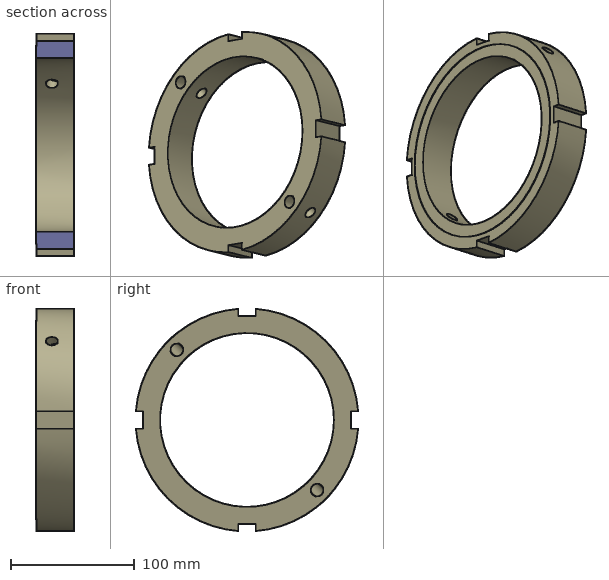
import cadquery as cq

OUTER_DIAMETER = 180.0
BORE_DIAMETER = 140.0
TOTAL_WIDTH = 31.0

FACE_DIAMETER = 160.0
FACE_HEIGHT = 0.5

SLOT_COUNT = 4
SLOT_WIDTH = 14.0
SLOT_FLOOR_RADIUS = 84.0

RADIAL_HOLE_DIAMETER = 9.6
AXIAL_HOLE_DIAMETER = 10.106
RADIAL_HOLE_FROM_FACE = 13.0
LOCKING_ANGLES = (45.0, 225.0)

OUTER_RADIUS = OUTER_DIAMETER / 2
BORE_RADIUS = BORE_DIAMETER / 2
AXIAL_HOLE_RADIUS_FROM_AXIS = (OUTER_RADIUS + BORE_RADIUS) / 2


def ring_body():
    """Ring with a low raised face; the face lies at X = 0."""
    rim = (
        cq.Workplane("YZ")
        .workplane(offset=FACE_HEIGHT)
        .circle(OUTER_RADIUS)
        .extrude(TOTAL_WIDTH - FACE_HEIGHT)
    )
    face = cq.Workplane("YZ").circle(FACE_DIAMETER / 2).extrude(TOTAL_WIDTH)
    bore = cq.Workplane("YZ").circle(BORE_RADIUS).extrude(TOTAL_WIDTH)
    return rim.union(face).cut(bore)


def about_axis(shape, angle):
    """Turn a shape about the ring axis."""
    return shape.rotate((0, 0, 0), (1, 0, 0), angle)


def slot_cutter(angle):
    """Full-width block that cuts one spanner slot."""
    block = cq.Workplane("XY").box(
        TOTAL_WIDTH,
        SLOT_WIDTH,
        OUTER_RADIUS - SLOT_FLOOR_RADIUS,
        centered=(False, True, False),
    )
    return about_axis(block.translate((0, 0, SLOT_FLOOR_RADIUS)), angle)


def locking_hole_cutter(angle):
    """Radial hole from the bore to the rim, joined at mid-wall by the axial hole."""
    radial = (
        cq.Workplane("XY")
        .center(RADIAL_HOLE_FROM_FACE, 0)
        .circle(RADIAL_HOLE_DIAMETER / 2)
        .extrude(OUTER_RADIUS)
    )
    axial = (
        cq.Workplane("YZ")
        .workplane(offset=RADIAL_HOLE_FROM_FACE)
        .center(0, AXIAL_HOLE_RADIUS_FROM_AXIS)
        .circle(AXIAL_HOLE_DIAMETER / 2)
        .extrude(TOTAL_WIDTH - RADIAL_HOLE_FROM_FACE)
    )
    return about_axis(radial.union(axial), angle)


result = ring_body()
for slot_index in range(SLOT_COUNT):
    result = result.cut(slot_cutter(slot_index * 360.0 / SLOT_COUNT))
for locking_angle in LOCKING_ANGLES:
    result = result.cut(locking_hole_cutter(locking_angle))